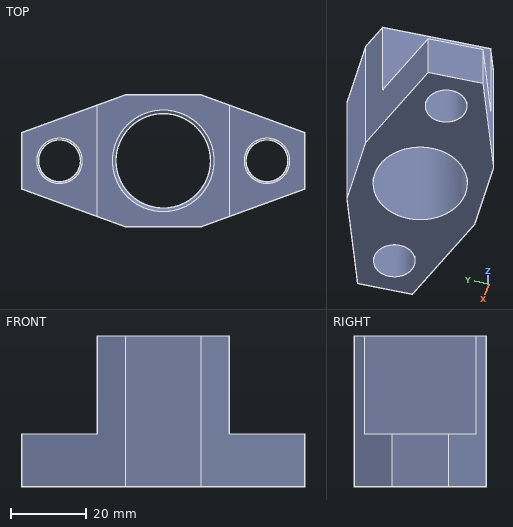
import cadquery as cq

length = 75.0
width = 35.0
height = 40.0

side_flat_length = 20.0
end_flat_width = 15.0

block_length = width
flange_height = 14.0

bore_diameter = 25.0
bore_chamfer = 1.0
bolt_hole_diameter = 11.0
bolt_hole_chamfer = 0.5
bolt_hole_spacing = 55.0


def tapered_plate():
    """Full-height prism with the elongated octagonal plan outline."""
    x_end = length / 2
    x_flat = side_flat_length / 2
    y_side = width / 2
    y_end = end_flat_width / 2
    outline = [
        (x_end, -y_end),
        (x_end, y_end),
        (x_flat, y_side),
        (-x_flat, y_side),
        (-x_end, y_end),
        (-x_end, -y_end),
        (-x_flat, -y_side),
        (x_flat, -y_side),
    ]
    return cq.Workplane("XY").polyline(outline).close().extrude(height)


def ear_clearance(side):
    """Space above one flange ear; side is -1 or +1 along X."""
    ear_length = (length - block_length) / 2
    x_center = side * (block_length + ear_length) / 2
    return (
        cq.Workplane("XY", origin=(x_center, 0, flange_height))
        .rect(ear_length, width)
        .extrude(height - flange_height)
    )


def chamfered_hole(x, top, diameter, chamfer):
    """Cutter for a vertical through hole with a 45-degree chamfer at its top."""
    radius = diameter / 2
    profile = [
        (0, 0),
        (radius, 0),
        (radius, top - chamfer),
        (radius + chamfer, top),
        (0, top),
    ]
    cutter = cq.Workplane("XZ").polyline(profile).close().revolve(360, (0, 0), (0, 1))
    return cutter.translate((x, 0, 0))


result = tapered_plate()
for side in (-1, 1):
    result = result.cut(ear_clearance(side))
result = result.cut(chamfered_hole(0, height, bore_diameter, bore_chamfer))
for side in (-1, 1):
    bolt_x = side * bolt_hole_spacing / 2
    result = result.cut(chamfered_hole(bolt_x, flange_height, bolt_hole_diameter, bolt_hole_chamfer))